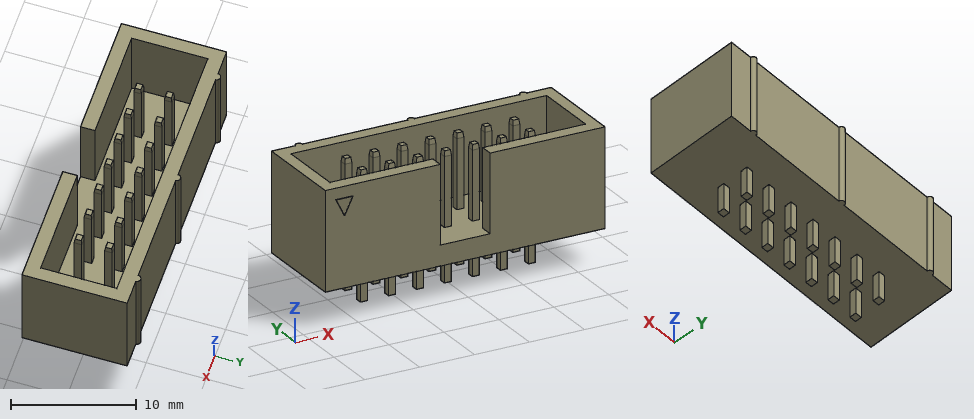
import cadquery as cq

housing_length = 25.45
housing_depth = 8.8
housing_height = 8.85

cavity_length = 23.25
cavity_depth = 6.35
floor_height = 1.83
key_slot_width = 4.53

pin_columns = 7
pin_rows = 2
pin_pitch = 2.55
pin_width = 0.64
pin_tail_length = 3.0
pin_tip_recess = 0.38
pin_tip_height = 0.45
pin_tip_width = 0.5

rib_radius = 0.3
rib_spacing = 10.2

marker_width = 1.53
marker_height = 1.53
marker_thickness = 0.1
marker_center_from_side = 1.7
marker_top_gap = 1.0

cavity_height = housing_height - floor_height
front_y = -housing_depth / 2
rear_y = housing_depth / 2


def make_housing():
    """Box with an open cavity and a keying slot in the front wall."""
    block = cq.Workplane("XY").box(
        housing_length, housing_depth, housing_height, centered=(True, True, False)
    )
    cavity = (
        cq.Workplane("XY", origin=(0, 0, floor_height))
        .rect(cavity_length, cavity_depth)
        .extrude(cavity_height)
    )
    key_slot = (
        cq.Workplane("XY", origin=(0, front_y / 2, floor_height))
        .rect(key_slot_width, housing_depth / 2)
        .extrude(cavity_height)
    )
    return block.cut(cavity).cut(key_slot)


def make_pin():
    """Square pin on the Z axis, ending in a tapered tip below the housing rim."""
    tip_top = housing_height - pin_tip_recess
    shoulder = tip_top - pin_tip_height
    shank = (
        cq.Workplane("XY", origin=(0, 0, -pin_tail_length))
        .rect(pin_width, pin_width)
        .extrude(shoulder + pin_tail_length)
    )
    tip = (
        cq.Workplane("XY", origin=(0, 0, shoulder))
        .rect(pin_width, pin_width)
        .workplane(offset=pin_tip_height)
        .rect(pin_tip_width, pin_tip_width)
        .loft(ruled=True)
    )
    return shank.union(tip)


def make_rear_rib(x):
    """Full-height cylinder centred on the rear face, half buried in the wall."""
    return cq.Workplane("XY", origin=(x, rear_y, 0)).circle(rib_radius).extrude(housing_height)


def make_marker():
    """Downward-pointing triangle standing off the front face."""
    center_x = -housing_length / 2 + marker_center_from_side
    top_z = housing_height - marker_top_gap
    return (
        cq.Workplane("XZ", origin=(0, front_y, 0))
        .moveTo(center_x - marker_width / 2, top_z)
        .lineTo(center_x + marker_width / 2, top_z)
        .lineTo(center_x, top_z - marker_height)
        .close()
        .extrude(marker_thickness)
    )


result = make_housing().union(make_marker())

for rib_step in (-1, 0, 1):
    result = result.union(make_rear_rib(rib_step * rib_spacing))

pin = make_pin()
for column in range(pin_columns):
    for row in range(pin_rows):
        pin_x = (column - (pin_columns - 1) / 2) * pin_pitch
        pin_y = (row - (pin_rows - 1) / 2) * pin_pitch
        result = result.union(pin.translate((pin_x, pin_y, 0)))